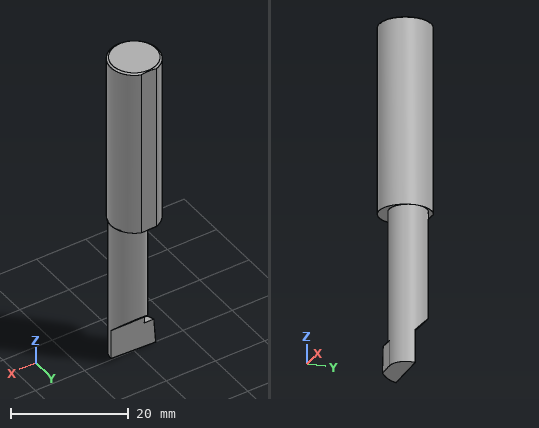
import cadquery as cq

total_length = 63.5

shank_radius = 4.75
shank_length = 34.35
flat_distance = 4.5
chamfer_width = 0.4
chamfer_height = 0.25

neck_radius = 3.4
neck_center_x = shank_radius - neck_radius

rake_face_top = 6.4

head_top = 5.15
tip_x = -4.0
flank_mid = (-3.5, -1.35)
flank_end = (-2.6, -2.5)
heel_x = -1.6
head_lean = 0.4

end_slope_x = 0.04
end_slope_y = 0.08

shank_bottom = total_length - shank_length


def make_shank():
    shank = cq.Workplane("XY").workplane(offset=shank_bottom).circle(shank_radius).extrude(shank_length)
    shank = shank.faces(">Z").edges().chamfer(chamfer_height, chamfer_width)
    flat_cutter = (
        cq.Workplane("XY")
        .box(2 * shank_radius, shank_radius, total_length, centered=(True, False, False))
        .translate((0, flat_distance, 0))
    )
    return shank.cut(flat_cutter)


def make_neck():
    neck = cq.Workplane("XY").center(neck_center_x, 0).circle(neck_radius).extrude(shank_bottom)
    run_out = 2 * neck_radius
    relief = (
        cq.Workplane("YZ", origin=(neck_center_x, 0, 0))
        .polyline([(0, 0), (run_out, 0), (run_out, rake_face_top + run_out), (0, rake_face_top)])
        .close()
        .extrude(neck_radius, both=True)
    )
    return neck.cut(relief)


def head_outline(height, shift):
    """Head section whose flank and heel are moved by shift along X."""
    return (
        cq.Workplane("XY", origin=(0, 0, height))
        .moveTo(neck_center_x, 0)
        .lineTo(tip_x + shift, 0)
        .threePointArc((flank_mid[0] + shift, flank_mid[1]), (flank_end[0] + shift, flank_end[1]))
        .lineTo(heel_x + shift, -neck_radius)
        .lineTo(neck_center_x, -neck_radius)
        .close()
        .wire()
        .val()
    )


def make_head():
    lower = head_outline(0, -head_lean)
    upper = head_outline(head_top, 0)
    return cq.Workplane(cq.Solid.makeLoft([lower, upper], True))


def make_end_relief():
    """Block below the sloping end face, which passes through the lowest tip point."""
    tip_point = (tip_x - head_lean, 0, 0)
    end_plane = cq.Plane(tip_point, xDir=(1, 0, end_slope_x), normal=(-end_slope_x, end_slope_y, 1))
    block_size = 4 * shank_radius
    return cq.Workplane(end_plane).rect(2 * block_size, 2 * block_size).extrude(-block_size)


result = make_shank().union(make_neck()).union(make_head()).cut(make_end_relief())